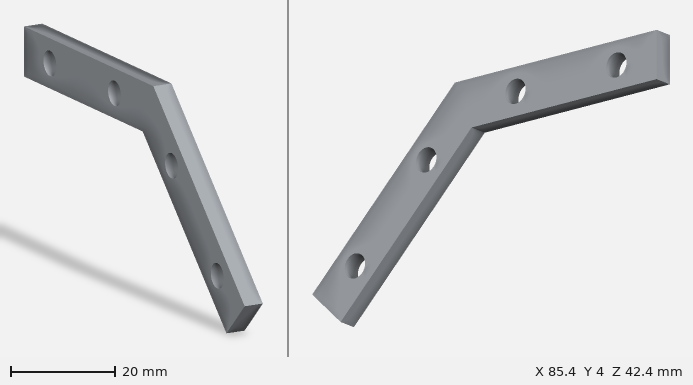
import cadquery as cq
import math

overall_length = 85.4
thickness = 4.0
leg_width = 10.0
bend_angle = 45.0
hole_diameter = 5.0
end_to_hole = 10.0
hole_spacing = 25.0

cos_bend = math.cos(math.radians(bend_angle))
sin_bend = math.sin(math.radians(bend_angle))
leg_length = overall_length / (1 + cos_bend)
inner_setback = leg_width * math.tan(math.radians(bend_angle / 2))


def on_straight_leg(distance, depth):
    """Point at a distance from the outer corner and a depth below the outer edge."""
    return (-distance, -depth)


def on_angled_leg(distance, depth):
    """Same as on_straight_leg, measured along the tilted leg."""
    x = distance * cos_bend - depth * sin_bend
    z = -distance * sin_bend - depth * cos_bend
    return (x, z)


outline = [
    (0, 0),
    on_angled_leg(leg_length, 0),
    on_angled_leg(leg_length, leg_width),
    on_straight_leg(inner_setback, leg_width),
    on_straight_leg(leg_length, leg_width),
    on_straight_leg(leg_length, 0),
]
back_plane = cq.Workplane("XZ", origin=(0, thickness / 2, 0))
plate = back_plane.polyline(outline).close().extrude(thickness)

outer_hole = leg_length - end_to_hole
hole_distances = [outer_hole, outer_hole - hole_spacing]
hole_centres = [
    place(distance, leg_width / 2)
    for place in (on_straight_leg, on_angled_leg)
    for distance in hole_distances
]
holes = back_plane.pushPoints(hole_centres).circle(hole_diameter / 2).extrude(thickness)

result = plate.cut(holes)